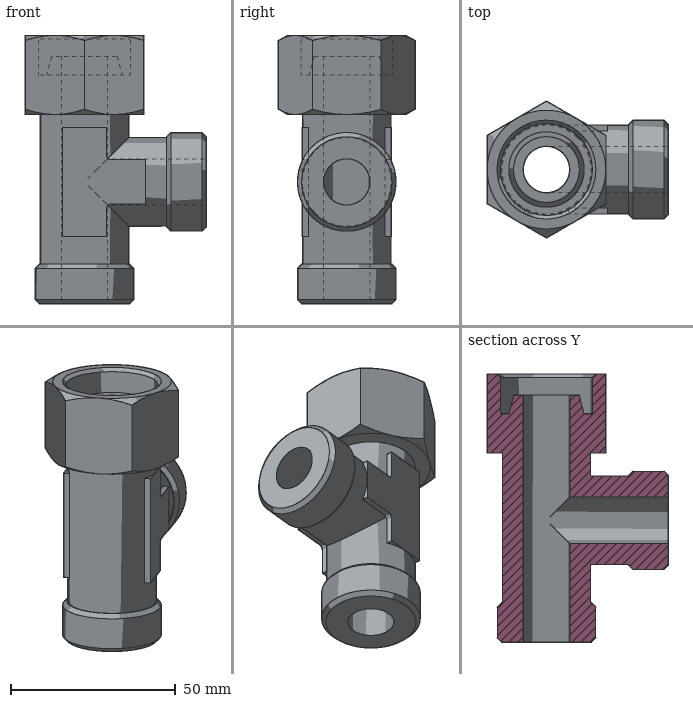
import cadquery as cq
import math

total_height = 81.5
branch_reach = 37.0
branch_height = 37.0

body_diameter = 27.0
bore_diameter = 14.0

collar_diameter = 30.0
collar_length = 12.1
collar_chamfer = 1.3

flat_spacing = 27.05
flat_width = body_diameter / 2
flat_length = 33.0
flat_reach = 18.5
flat_corner_radius = 1.3

nut_across_flats = 36.0
nut_height = 24.05
hexagon_half_angle = 30.0
nut_chamfer_angle = 30.0
nut_mouth_diameter = 30.0
nut_hole_diameter = 27.9
socket_depth = 12.1

nose_tip_diameter = 20.0
nose_base_diameter = 22.9
nose_recess = 6.4


def make_leg(length):
    """Pipe leg with its collar end face on Z = 0, running up to Z = length."""
    pipe = cq.Workplane("XY").circle(body_diameter / 2).extrude(length)
    collar = (
        cq.Workplane("XY")
        .circle(collar_diameter / 2)
        .extrude(collar_length)
        .faces("<Z or >Z")
        .chamfer(collar_chamfer)
    )
    return pipe.union(collar)


def place_on_branch(leg):
    """Move a shape whose end face is on Z = 0 so that this face becomes the branch end."""
    return leg.rotate((0, 0, 0), (0, 1, 0), -90).translate((branch_reach, 0, branch_height))


def make_wrench_flats():
    """T-shaped slab whose two faces stand on the front and back of the body."""
    upright = cq.Workplane("XY").box(flat_width, flat_spacing, flat_length)
    arm = cq.Workplane("XY").box(flat_reach, flat_spacing, flat_width).translate((flat_reach / 2, 0, 0))
    inner_corner = cq.selectors.BoxSelector(
        (flat_width / 2 - flat_corner_radius, -flat_spacing, -flat_width / 2 - flat_corner_radius),
        (flat_width / 2 + flat_corner_radius, flat_spacing, flat_width / 2 + flat_corner_radius),
    )
    slab = upright.union(arm).edges("|Y").edges(inner_corner).fillet(flat_corner_radius)
    return slab.translate((0, 0, branch_height))


def make_nut():
    """Hexagon nut with corners on the Y axis, cone-chamfered ends and an open socket."""
    corner_radius = nut_across_flats / 2 / math.cos(math.radians(hexagon_half_angle))
    chamfer_drop = (corner_radius - nut_across_flats / 2) * math.tan(math.radians(nut_chamfer_angle))
    hexagon = (
        cq.Workplane("XY")
        .polygon(6, 2 * corner_radius)
        .extrude(nut_height)
        .rotate((0, 0, 0), (0, 0, 1), hexagon_half_angle)
    )
    chamfer_envelope = (
        cq.Workplane("XZ")
        .moveTo(0, 0)
        .lineTo(nut_across_flats / 2, 0)
        .lineTo(corner_radius, chamfer_drop)
        .lineTo(corner_radius, nut_height - chamfer_drop)
        .lineTo(nut_across_flats / 2, nut_height)
        .lineTo(0, nut_height)
        .close()
        .revolve(360, (0, 0), (0, 1))
    )
    socket = (
        cq.Workplane("XY")
        .workplane(offset=nut_height - socket_depth)
        .circle(nut_hole_diameter / 2)
        .extrude(socket_depth)
    )
    mouth_chamfer = (nut_mouth_diameter - nut_hole_diameter) / 2
    nut = hexagon.intersect(chamfer_envelope).cut(socket)
    nut = nut.faces(">Z").edges("%CIRCLE").edges(cq.selectors.RadiusNthSelector(0)).chamfer(mouth_chamfer)
    return nut.translate((0, 0, total_height - nut_height))


def make_nose():
    """Cone rising from the socket floor to the recessed sealing tip."""
    return (
        cq.Workplane("XY")
        .workplane(offset=total_height - socket_depth)
        .circle(nose_base_diameter / 2)
        .workplane(offset=socket_depth - nose_recess)
        .circle(nose_tip_diameter / 2)
        .loft(ruled=True)
    )


def make_bore(length):
    return cq.Workplane("XY").circle(bore_diameter / 2).extrude(length)


run = make_leg(total_height - nut_height)
branch = place_on_branch(make_leg(branch_reach))
body = run.union(branch).union(make_wrench_flats()).union(make_nut()).union(make_nose())
result = body.cut(make_bore(total_height)).cut(place_on_branch(make_bore(branch_reach)))